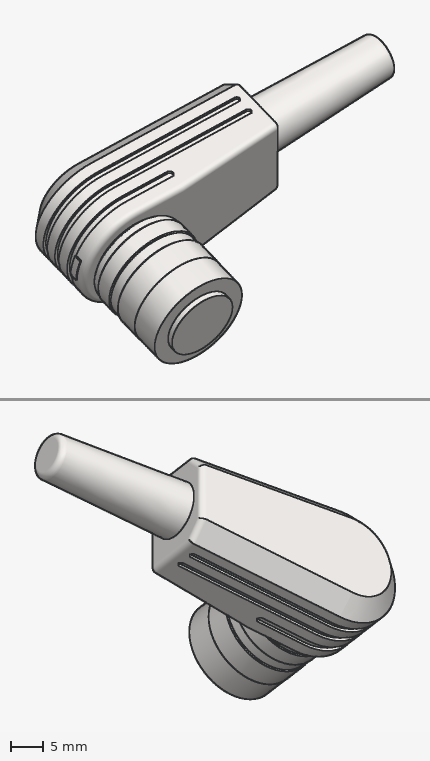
import cadquery as cq
import math

HOUSING_RADIUS = 10.0
HOUSING_WIDTH = 15.0
HOUSING_END_Y = 29.45
SIDE_TAPER = 3.8
BACK_CHAMFER = 3.0
EDGE_FILLET = 1.0
FRONT_TAPER = 5.0
FRONT_TAPER_START_Y = 9.5

GROOVE_DEPTH = 0.5
GROOVES = [
    (5.5, 1.0, 27.5),
    (8.45, 1.0, 27.5),
    (11.65, 1.2, 10.0),
]

MARK_RADIUS = HOUSING_RADIUS + 0.2
MARK_START_X = 12.25
MARK_END_X = 13.6
MARK_HEIGHT = 4.0

SLEEVE_X = 6.72
SLEEVE_TIP_Y = 54.1
SLEEVE_TIP_RADIUS = 3.8
SLEEVE_TAPER = 2.25

NECK_RADIUS = 14.9 / 2
GROOVE_RADIUS = 16.6 / 2
FRONT_RADIUS = 16.9 / 2
RING_RADIUS = 17.0 / 2
TIP_RADIUS = 11.7 / 2
RING_START_X = 15.25
RING_FILLET = 0.8
REAR_BAND_START_X = 17.0
REAR_BAND_END_X = 20.0
FRONT_BAND_START_X = 22.0
FRONT_BAND_END_X = 26.3
RING_END_X = 31.35
TIP_END_X = 32.35

MARGIN = 5.0


def teardrop(radius, end_y):
    """Outline in YZ: a round of the given radius with tangent sides tapering to end_y."""
    taper = math.radians(SIDE_TAPER)
    tangent_y = radius * math.sin(taper)
    tangent_z = radius * math.cos(taper)
    end_z = tangent_z - (end_y - tangent_y) * math.tan(taper)
    return (
        cq.Workplane("YZ")
        .moveTo(tangent_y, tangent_z)
        .threePointArc((-radius, 0), (tangent_y, -tangent_z))
        .lineTo(end_y, -end_z)
        .lineTo(end_y, end_z)
        .close()
    )


def make_housing():
    """Teardrop body with a chamfered back, a slanted front and rounded front and end rims."""
    body = teardrop(HOUSING_RADIUS, HOUSING_END_Y).extrude(HOUSING_WIDTH)
    body = body.faces("<X").edges("not(>Y)").chamfer(BACK_CHAMFER)

    slant = math.radians(FRONT_TAPER)
    wedge_end_y = HOUSING_END_Y + MARGIN
    wedge_depth = (wedge_end_y - FRONT_TAPER_START_Y) * math.tan(slant)
    wedge = (
        cq.Workplane("XY")
        .moveTo(HOUSING_WIDTH, FRONT_TAPER_START_Y)
        .lineTo(HOUSING_WIDTH - wedge_depth, wedge_end_y)
        .lineTo(HOUSING_WIDTH, wedge_end_y)
        .close()
        .extrude(HOUSING_RADIUS + MARGIN, both=True)
    )
    body = body.cut(wedge)

    slant_normal = cq.Vector(math.cos(slant), math.sin(slant), 0)
    flat_rim = body.faces(">X").edges("not(|Z)")
    slant_rim = body.faces(cq.selectors.DirectionSelector(slant_normal)).edges("not(|Z)")
    end_rim = body.faces(">Y").edges()
    rim = flat_rim.add(slant_rim).add(end_rim).vals()
    return body.newObject(rim).fillet(EDGE_FILLET)


def make_groove(center_x, width, end_y):
    """Shallow band following the outline, with rounded ends on the top and bottom sides."""
    strip_start = -HOUSING_RADIUS - MARGIN
    strip = (
        cq.Workplane("XY")
        .moveTo(center_x - width / 2, strip_start)
        .lineTo(center_x - width / 2, end_y - width / 2)
        .threePointArc((center_x, end_y), (center_x + width / 2, end_y - width / 2))
        .lineTo(center_x + width / 2, strip_start)
        .close()
        .extrude(HOUSING_RADIUS + MARGIN, both=True)
    )
    core = teardrop(HOUSING_RADIUS - GROOVE_DEPTH, HOUSING_END_Y).extrude(HOUSING_WIDTH)
    return strip.cut(core)


def make_mark():
    """Raised locating mark: a short sector just proud of the housing round."""
    length = MARK_END_X - MARK_START_X
    disc = cq.Workplane("YZ").workplane(offset=MARK_START_X).circle(MARK_RADIUS).extrude(length)
    sector = (
        cq.Workplane("YZ")
        .workplane(offset=MARK_START_X)
        .rect(-MARK_RADIUS, MARK_HEIGHT, centered=False)
        .extrude(length)
    )
    return disc.intersect(sector)


def make_sleeve():
    """Tapered cable sleeve, rooted inside the housing."""
    root_y = HOUSING_END_Y - MARGIN
    root_radius = SLEEVE_TIP_RADIUS + (SLEEVE_TIP_Y - root_y) * math.tan(math.radians(SLEEVE_TAPER))
    sleeve = (
        cq.Workplane("XY")
        .moveTo(0, root_y)
        .lineTo(root_radius, root_y)
        .lineTo(SLEEVE_TIP_RADIUS, SLEEVE_TIP_Y)
        .lineTo(0, SLEEVE_TIP_Y)
        .close()
        .revolve(360, (0, 0), (0, 1))
    )
    return sleeve.faces(">Y").edges().fillet(EDGE_FILLET).translate((SLEEVE_X, 0, 0))


def make_coupling():
    """Stepped coupling ring around the X axis; small 45 degree bevels lead onto the bands."""
    bevel = RING_RADIUS - GROOVE_RADIUS
    fillet_mid = RING_FILLET * (1 - math.cos(math.radians(45)))
    half_section = (
        cq.Workplane("XY")
        .moveTo(HOUSING_WIDTH - MARGIN, 0)
        .lineTo(HOUSING_WIDTH - MARGIN, NECK_RADIUS)
        .lineTo(RING_START_X, NECK_RADIUS)
        .lineTo(RING_START_X, GROOVE_RADIUS - RING_FILLET)
        .threePointArc(
            (RING_START_X + fillet_mid, GROOVE_RADIUS - fillet_mid),
            (RING_START_X + RING_FILLET, GROOVE_RADIUS),
        )
        .lineTo(REAR_BAND_START_X - bevel, GROOVE_RADIUS)
        .lineTo(REAR_BAND_START_X, RING_RADIUS)
        .lineTo(REAR_BAND_END_X - bevel, RING_RADIUS)
        .lineTo(REAR_BAND_END_X, GROOVE_RADIUS)
        .lineTo(FRONT_BAND_START_X - bevel, GROOVE_RADIUS)
        .lineTo(FRONT_BAND_START_X, RING_RADIUS)
        .lineTo(FRONT_BAND_END_X, RING_RADIUS)
        .lineTo(FRONT_BAND_END_X, FRONT_RADIUS)
        .lineTo(RING_END_X, FRONT_RADIUS)
        .lineTo(RING_END_X, TIP_RADIUS)
        .lineTo(TIP_END_X, TIP_RADIUS)
        .lineTo(TIP_END_X, 0)
        .close()
    )
    return half_section.revolve(360, (0, 0), (1, 0))


housing = make_housing()
for center_x, width, end_y in GROOVES:
    housing = housing.cut(make_groove(center_x, width, end_y))

result = housing.union(make_mark()).union(make_sleeve()).union(make_coupling())